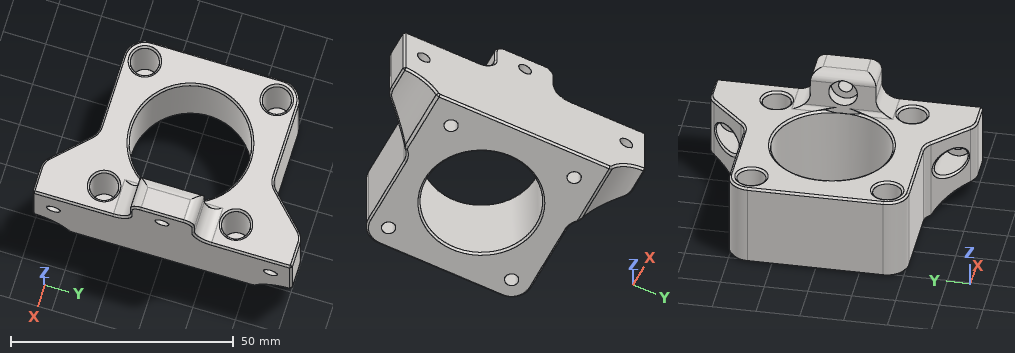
import cadquery as cq
import math


length = 42.15
body_width = 41.0
ear_span = 61.0
body_height = 20.0
half_body = body_width / 2
half_span = ear_span / 2
front_x = -half_body
mount_x = length - half_body
corner_radius = 5.0
edge_chamfer = 0.5

ear_tip_length = 7.85
flank_outer_x = mount_x - ear_tip_length
flank_inner_x = flank_outer_x - (half_span - half_body)
flank_blend_radius = 4.0
ear_bottom = 5.0
undercut_radius = 9.9

bore_diameter = 27.5

screw_diameter = 3.2
head_diameter = 6.5
head_floor = 5.0
screw_pitch = 31.0
ear_screw_y = 25.5
ear_screw_z = (ear_bottom + body_height) / 2

total_height = 30.0
lug_width = 15.0
lug_thickness = 8.0
lug_top_radius = 2.5
lug_side_flare = 4.0
lug_front_flare = 1.0
lug_front_x = mount_x - lug_thickness
lug_screw_z = (body_height + total_height) / 2

DIAGONAL = math.sqrt(0.5)
tolerance = 0.005


def make_block():
    """Block with rounded front corners and two ears with 45 degree flanks."""
    upper_outline = [
        (front_x, half_body),
        (flank_inner_x, half_body),
        (flank_outer_x, half_span),
        (mount_x, half_span),
    ]
    lower_outline = [(x, -y) for x, y in reversed(upper_outline)]
    block = cq.Workplane("XY").polyline(upper_outline + lower_outline).close().extrude(body_height)

    def vertical_edges_at(x):
        box = cq.selectors.BoxSelector(
            (x - tolerance, -ear_span, 0), (x + tolerance, ear_span, body_height)
        )
        return cq.selectors.AndSelector(cq.selectors.ParallelDirSelector(cq.Vector(0, 0, 1)), box)

    for x, radius in (
        (front_x, corner_radius),
        (flank_inner_x, flank_blend_radius),
        (flank_outer_x, flank_blend_radius),
    ):
        block = block.edges(vertical_edges_at(x)).fillet(radius)
    return block


def make_undercuts():
    """Round hollows, level with the ear bottoms at the ear tips."""
    centre_z = ear_bottom - undercut_radius
    return (
        cq.Workplane("YZ", origin=(front_x, 0, 0))
        .pushPoints([(-half_span, centre_z), (half_span, centre_z)])
        .circle(undercut_radius)
        .extrude(length)
    )


def make_lug():
    """Lug whose flared side profile and flared front profile meet in mitres."""
    half_lug = lug_width / 2
    flare_y = half_lug + lug_side_flare
    flare_x = lug_front_x - lug_front_flare
    top_arc_drop = lug_top_radius * (1 - DIAGONAL)
    side_arc_drop = lug_side_flare * (1 - DIAGONAL)
    front_arc_drop = lug_front_flare * (1 - DIAGONAL)
    shoulder = total_height - lug_top_radius

    side_profile = (
        cq.Workplane("YZ", origin=(flare_x, 0, 0))
        .moveTo(-flare_y, 0)
        .lineTo(-flare_y, body_height)
        .threePointArc(
            (-half_lug - side_arc_drop, body_height + side_arc_drop),
            (-half_lug, body_height + lug_side_flare),
        )
        .lineTo(-half_lug, shoulder)
        .threePointArc(
            (-half_lug + top_arc_drop, total_height - top_arc_drop),
            (-half_lug + lug_top_radius, total_height),
        )
        .lineTo(0, total_height)
        .lineTo(0, 0)
        .close()
        .extrude(mount_x - flare_x)
    )
    side_profile = side_profile.union(side_profile.mirror("XZ"))

    front_profile = (
        cq.Workplane("XZ")
        .moveTo(flare_x, 0)
        .lineTo(flare_x, body_height)
        .threePointArc(
            (lug_front_x - front_arc_drop, body_height + front_arc_drop),
            (lug_front_x, body_height + lug_front_flare),
        )
        .lineTo(lug_front_x, shoulder)
        .threePointArc(
            (lug_front_x + top_arc_drop, total_height - top_arc_drop),
            (lug_front_x + lug_top_radius, total_height),
        )
        .lineTo(mount_x, total_height)
        .lineTo(mount_x, 0)
        .close()
        .extrude(flare_y, both=True)
    )
    return side_profile.intersect(front_profile)


def make_bore():
    """Through bore, chamfered at both faces of the block and trimmed flush with the lug front.

    Above the top face it tapers back to its own diameter where it clears the lug's front flare.
    """
    radius = bore_diameter / 2
    mouth = radius + edge_chamfer
    top_chamfer_start = body_height - edge_chamfer
    flare_top = body_height + lug_front_flare
    profile = [
        (0, 0),
        (mouth, 0),
        (radius, edge_chamfer),
        (radius, top_chamfer_start),
        (mouth, body_height),
        (radius, flare_top),
        (0, flare_top),
    ]
    bore = cq.Workplane("XZ").polyline(profile).close().revolve(360, (0, 0, 0), (0, 1, 0))
    lug_foot = cq.Workplane("XY", origin=(lug_front_x, 0, top_chamfer_start)).box(
        lug_thickness, lug_width, flare_top - top_chamfer_start, centered=(False, True, False)
    )
    return bore.cut(lug_foot)


def make_block_screw_holes():
    """Counterbored holes from the top face, with chamfered mouths."""

    def circles(z, diameter):
        corners = cq.Workplane("XY", origin=(0, 0, z)).rect(screw_pitch, screw_pitch, forConstruction=True)
        return corners.vertices().circle(diameter / 2)

    shanks = circles(0, screw_diameter).extrude(body_height)
    heads = circles(head_floor, head_diameter).extrude(body_height - head_floor)
    mouths = circles(body_height, head_diameter + 2 * edge_chamfer).extrude(-edge_chamfer, taper=45)
    return shanks.union(heads).union(mouths)


def make_mount_screw_hole(y, z, head_start_x):
    """Counterbored hole along X, ending at the mounting face."""
    head_end_x = mount_x - head_floor
    head = (
        cq.Workplane("YZ", origin=(head_start_x, y, z))
        .circle(head_diameter / 2)
        .extrude(head_end_x - head_start_x)
    )
    shank = (
        cq.Workplane("YZ", origin=(head_end_x, y, z))
        .circle(screw_diameter / 2)
        .extrude(head_floor)
    )
    return head.union(shank)


class OutlineEdges(cq.Selector):
    """Edges of the mounting face, the block underside, the undercuts and the rim of the top face."""

    def filter(self, edges):
        return [edge for edge in edges if self.on_outline(edge)]

    def on_outline(self, edge):
        box = edge.BoundingBox()
        on_mount = box.xmin > mount_x - tolerance
        on_underside = box.zmax < ear_bottom + tolerance
        on_top = box.zmin > body_height - tolerance and box.zmax < body_height + tolerance
        reach_y = max(abs(box.ymin), abs(box.ymax))
        on_lug = box.xmin > 0 and reach_y < lug_width / 2 + lug_side_flare + tolerance
        return on_mount or on_underside or (on_top and not on_lug)


body = make_block().cut(make_undercuts()).union(make_lug())
body = body.edges(OutlineEdges()).chamfer(edge_chamfer)

body = body.cut(make_bore()).cut(make_block_screw_holes())
body = body.cut(make_mount_screw_hole(0, lug_screw_z, front_x))
flank_middle_x = (flank_inner_x + flank_outer_x) / 2
for screw_y in (-ear_screw_y, ear_screw_y):
    body = body.cut(make_mount_screw_hole(screw_y, ear_screw_z, flank_inner_x))
    mouth_top = (flank_middle_x, screw_y, ear_screw_z + head_diameter / 2)
    body = body.edges(cq.selectors.NearestToPointSelector(mouth_top)).chamfer(edge_chamfer)

result = body